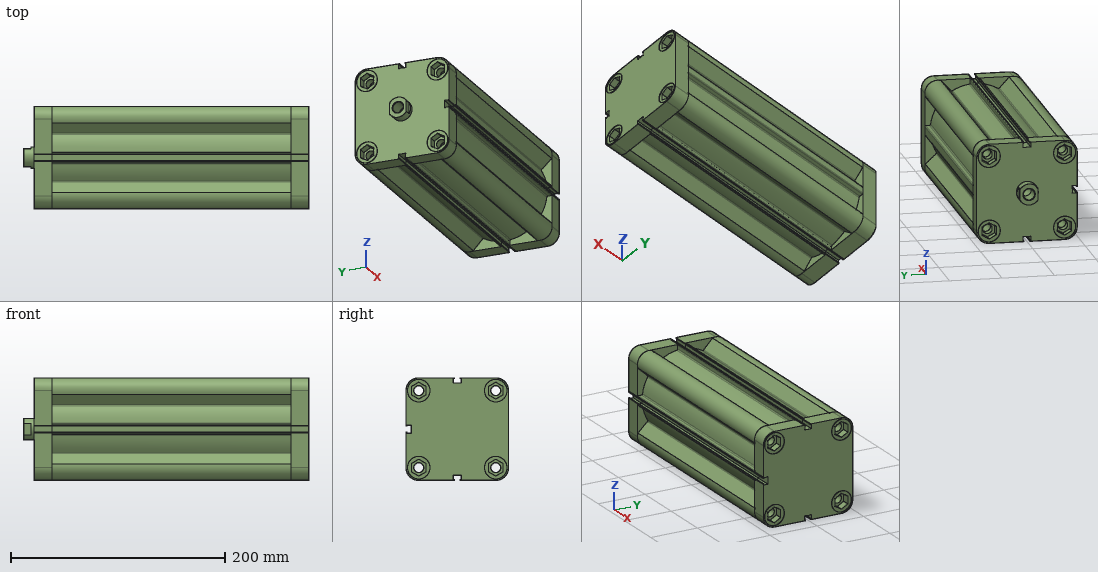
import cadquery as cq
import math

LENGTH = 266.5
WIDTH = 96.0
ROD_REACH = 9.9
CAP_LENGTH = 16.8
HALF = WIDTH / 2
TUBE_LENGTH = LENGTH - ROD_REACH - 2 * CAP_LENGTH
FRONT_CAP_X = ROD_REACH
TUBE_X = FRONT_CAP_X + CAP_LENGTH
REAR_CAP_X = TUBE_X + TUBE_LENGTH

CORNER_RADIUS = 12.0
CORNER_CENTRE = HALF - CORNER_RADIUS
SCREW_HOLE_DIAMETER = 9.0
HEX_ACROSS_FLATS = 13.5
HEX_DEPTH = 8.0
HEX_DIAMETER = HEX_ACROSS_FLATS / math.cos(math.pi / 6)
RECESS_DIAMETER = 21.0
RECESS_DEPTH = 0.5

SLOT_MOUTH = 5.5
SLOT_WIDTH = 7.2
SLOT_LIP = 0.8
SLOT_DEPTH = 4.8
SLOTTED_SIDES = (0, 90, 180)

BULGE_RADIUS = 43.0
HOLLOW_FOOT = 22.5
HOLLOW_EDGE = 32.5
RIB_HALF_WIDTH = 4.8
RIB_ROUNDING = 0.8
FOOT_ROUNDING = 1.0

ROD_DIAMETER = 20.3
ROD_ACROSS_FLATS = 17.0
FLAT_LENGTH = 6.7
BORE_DIAMETER = 10.7
BORE_CHAMFER = 0.5
BORE_DEPTH = 16.0
BORE_CONE_DEPTH = 3.2


def section_at(x):
    """Sketch plane across the cylinder axis, with local axes along Y and Z."""
    return cq.Workplane("YZ", origin=(x, 0, 0))


def rounded_block(x, length):
    block = section_at(x).rect(WIDTH, WIDTH).extrude(length)
    return block.edges("|X").fillet(CORNER_RADIUS)


def at_screws(plane):
    return plane.rect(2 * CORNER_CENTRE, 2 * CORNER_CENTRE, forConstruction=True).vertices()


def screw_holes(x, length):
    return at_screws(section_at(x)).circle(SCREW_HOLE_DIAMETER / 2).extrude(length)


def turned(shape, angle):
    return shape.rotate((0, 0, 0), (1, 0, 0), angle)


def sensor_slots(x, length):
    """T-slots for the top, front and bottom sides."""
    mouth = section_at(x).center(0, HALF - SLOT_DEPTH / 2).rect(SLOT_MOUTH, SLOT_DEPTH).extrude(length)
    channel_height = SLOT_DEPTH - SLOT_LIP
    channel_z = HALF - SLOT_LIP - channel_height / 2
    channel = section_at(x).center(0, channel_z).rect(SLOT_WIDTH, channel_height).extrude(length)
    slot = mouth.union(channel)
    return [turned(slot, angle) for angle in SLOTTED_SIDES]


def on_side(angle, across, out):
    """Point on the section, given across and outward from one side turned by angle from the top."""
    turn = math.radians(angle)
    return (
        across * math.cos(turn) - out * math.sin(turn),
        across * math.sin(turn) + out * math.cos(turn),
    )


def on_arc(radius, angle, centre=0.0):
    """Point on a circle about (centre, centre), at an angle in radians from the outward direction."""
    return (centre + radius * math.sin(angle), centre + radius * math.cos(angle))


def side_points():
    """Profile points of half a tube side, from its corner to its rib, before the edges are rounded.

    Each corner arc is centred on a screw hole and runs on past the flat side to the hollow's edge.
    Pairs are distance from the side's middle, then height above the cylinder axis.
    """
    edge_angle = math.asin((HOLLOW_EDGE - CORNER_CENTRE) / CORNER_RADIUS)
    foot_angle = math.asin(HOLLOW_FOOT / BULGE_RADIUS)
    rib_angle = math.asin(RIB_HALF_WIDTH / BULGE_RADIUS)
    return {
        "corner middle": on_arc(CORNER_RADIUS, math.pi / 4, CORNER_CENTRE),
        "hollow edge": on_arc(CORNER_RADIUS, edge_angle, CORNER_CENTRE),
        "hollow foot": on_arc(BULGE_RADIUS, foot_angle),
        "bulge middle": on_arc(BULGE_RADIUS, (foot_angle + rib_angle) / 2),
        "rib foot": on_arc(BULGE_RADIUS, rib_angle),
        "rib top": (RIB_HALF_WIDTH, HALF),
    }


def tube_profile():
    """Closed section of the tube without its slots: the same four hollowed sides in turn."""
    points = side_points()

    def place(angle, name, half=1):
        across, out = points[name]
        return on_side(angle, half * across, out)

    profile = section_at(TUBE_X).moveTo(*place(0, "hollow edge"))
    for angle in (0, 90, 180, 270):
        profile = (
            profile.lineTo(*place(angle, "hollow foot"))
            .threePointArc(place(angle, "bulge middle"), place(angle, "rib foot"))
            .lineTo(*place(angle, "rib top"))
            .lineTo(*place(angle, "rib top", -1))
            .lineTo(*place(angle, "rib foot", -1))
            .threePointArc(place(angle, "bulge middle", -1), place(angle, "hollow foot", -1))
            .lineTo(*place(angle, "hollow edge", -1))
            .threePointArc(place(angle, "corner middle", -1), place(angle + 90, "hollow edge"))
        )
    return profile.close()


def round_edges_at(body, axis_distance, radius):
    """Round every lengthwise edge that lies at the given distance from the cylinder axis."""

    def at_distance(edge):
        middle = edge.Center()
        return math.isclose(math.hypot(middle.y, middle.z), axis_distance, abs_tol=0.0003)

    return body.edges("|X").filter(at_distance).fillet(radius)


def make_tube():
    tube = tube_profile().extrude(TUBE_LENGTH)
    tube = round_edges_at(tube, BULGE_RADIUS, FOOT_ROUNDING)
    tube = round_edges_at(tube, math.hypot(RIB_HALF_WIDTH, HALF), RIB_ROUNDING)
    for slot in sensor_slots(TUBE_X, TUBE_LENGTH):
        tube = tube.cut(slot)
    return tube.cut(screw_holes(TUBE_X, TUBE_LENGTH))


def make_cap(x, outer_x, inward):
    """End cap from x to x + CAP_LENGTH; outer_x is its outer face and inward (+1 or -1) points to the tube."""
    cap = rounded_block(x, CAP_LENGTH)
    for slot in sensor_slots(x, CAP_LENGTH):
        cap = cap.cut(slot)
    outer_face = section_at(outer_x)
    recess_depth = inward * RECESS_DEPTH
    socket_depth = inward * (RECESS_DEPTH + HEX_DEPTH)
    recesses = at_screws(outer_face).circle(RECESS_DIAMETER / 2).extrude(recess_depth)
    turned_face = outer_face.transformed(rotate=(0, 0, 90))
    sockets = at_screws(turned_face).polygon(6, HEX_DIAMETER).extrude(socket_depth)
    return cap.cut(recesses).cut(sockets).cut(screw_holes(x, CAP_LENGTH))


def make_rod():
    """Piston rod through the front cap, with two wrench flats and a blind bore."""
    rod = section_at(0).circle(ROD_DIAMETER / 2).extrude(TUBE_X)
    flat_width = ROD_DIAMETER - ROD_ACROSS_FLATS
    for side in (-1, 1):
        flat_y = side * (ROD_ACROSS_FLATS + flat_width) / 2
        rod = rod.cut(section_at(0).center(flat_y, 0).rect(flat_width, ROD_DIAMETER).extrude(FLAT_LENGTH))
    bore = (
        cq.Workplane("XZ")
        .moveTo(0, 0)
        .lineTo(0, BORE_DIAMETER / 2 + BORE_CHAMFER)
        .lineTo(BORE_CHAMFER, BORE_DIAMETER / 2)
        .lineTo(BORE_DEPTH, BORE_DIAMETER / 2)
        .lineTo(BORE_DEPTH + BORE_CONE_DEPTH, 0)
        .close()
        .revolve(360, (0, 0, 0), (1, 0, 0))
    )
    return rod.cut(bore)


tube = make_tube()
rod_hole = section_at(FRONT_CAP_X).circle(ROD_DIAMETER / 2).extrude(CAP_LENGTH)
front_cap = make_cap(FRONT_CAP_X, FRONT_CAP_X, 1).cut(rod_hole)
rear_cap = make_cap(REAR_CAP_X, LENGTH, -1)
rod = make_rod()

result = cq.Compound.makeCompound([tube.val(), front_cap.val(), rear_cap.val(), rod.val()])